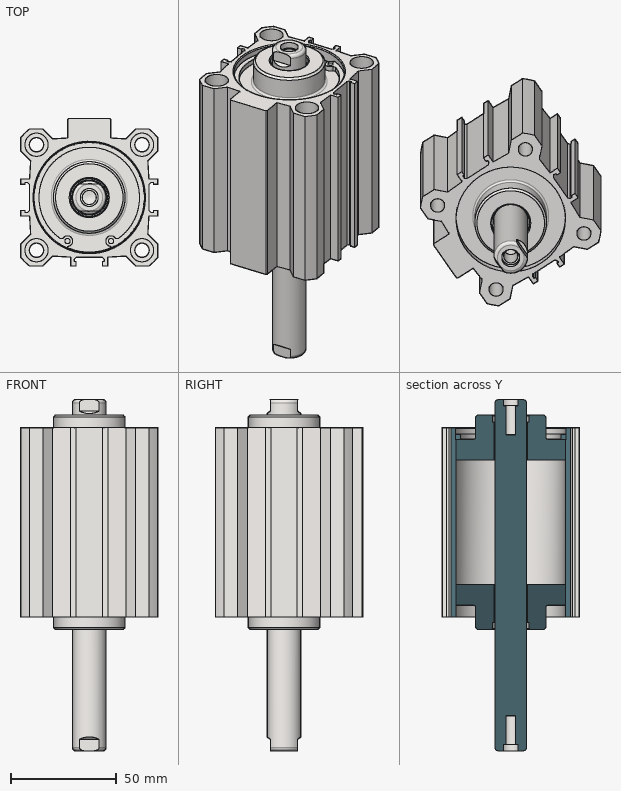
import cadquery as cq
import math

ROD_LENGTH = 166.5
HOUSING_BOTTOM = 63.5
HOUSING_HEIGHT = 89.7
HOUSING_TOP = HOUSING_BOTTOM + HOUSING_HEIGHT
HOUSING_MIDDLE = HOUSING_BOTTOM + HOUSING_HEIGHT / 2

HALF_WIDTH = 32.5
POST_CORNER_RADIUS = 43.1
WALL_MIDDLE = 28.3
WALL_END = 27.8
POST_ROOT = 17.3
RAIL_OUTER = 8.8
RAIL_STEM_INNER = 7.0
RAIL_LIP_INNER = 6.2
RAIL_LIP_THICKNESS = 2.2
RAIL_ROOT_BEVEL = 0.8
PORT_BLOCK_WIDTH = 20.5
PORT_BLOCK_END = 37.5
PORT_BLOCK_CHAMFER = 0.5

BORE_DIAMETER = 51.8
RING_SEAT_DIAMETER = 52.3
RING_SEAT_CHAMFER = 0.5
MOUNT_OFFSET = 25.0
MOUNT_DIAMETER = 6.7
MOUNT_COUNTERBORE_DIAMETER = 11.0
MOUNT_COUNTERBORE_DEPTH = 6.8

COVER_RECESS = 5.5
COVER_THICKNESS = 10.0
BOSS_DIAMETER = 34.0
BOSS_PROJECTION = 6.0
BOSS_CHAMFER = 1.0
BOSS_ROOT_FILLET = 1.0
COVER_HOLE_DIAMETER = 16.5
WIPER_RECESS_DIAMETER = 18.0
WIPER_RECESS_DEPTH = 3.3
WIPER_RECESS_CHAMFER = 0.5

RING_INNER_DIAMETER = 47.6
RING_THICKNESS = 2.3
EAR_X = 10.3
EAR_Y = -20.6
EAR_RADIUS = 2.5
EAR_HOLE_DIAMETER = 2.5
EAR_NECK_Y = -19.3

ROD_DIAMETER = 16.0
ROD_END_FILLET = 1.7
FLAT_SPACING = 13.0
FLAT_LENGTH = 5.5
RUNOUT_SLOPE = 0.8
ROD_HOLE_DIAMETER = 6.7
ROD_HOLE_DEPTH = 16.6
ROD_COUNTERBORE_DIAMETER = 8.5
ROD_COUNTERBORE_DEPTH = 3.0
HOLE_CONE_ANGLE = 160.0


def cylinder(diameter, bottom, height):
    return cq.Workplane("XY").workplane(offset=bottom).circle(diameter / 2).extrude(height)


def prism(points):
    """Extrude a plan outline over the height of the housing."""
    base = cq.Workplane("XY").workplane(offset=HOUSING_BOTTOM)
    return base.polyline(points).close().extrude(HOUSING_HEIGHT)


def quarter_turn(point, turns):
    x, y = point
    for _ in range(turns):
        x, y = -y, x
    return x, y


def housing_core():
    """Four slightly crowned walls joined by corner posts, trimmed round at their outer corners."""
    post_start = POST_ROOT + HALF_WIDTH - WALL_END
    post_end = math.sqrt(POST_CORNER_RADIUS**2 - HALF_WIDTH**2)
    arc_middle = POST_CORNER_RADIUS * math.sqrt(0.5)
    wall = [
        (post_start, HALF_WIDTH),
        (POST_ROOT, WALL_END),
        (RAIL_OUTER, WALL_MIDDLE),
        (-RAIL_OUTER, WALL_MIDDLE),
        (-POST_ROOT, WALL_END),
        (-post_start, HALF_WIDTH),
        (-post_end, HALF_WIDTH),
    ]
    outline = cq.Workplane("XY").workplane(offset=HOUSING_BOTTOM).moveTo(post_end, HALF_WIDTH)
    for turns in range(4):
        for point in wall:
            outline = outline.lineTo(*quarter_turn(point, turns))
        outline = outline.threePointArc(
            quarter_turn((-arc_middle, arc_middle), turns), quarter_turn((-HALF_WIDTH, post_end), turns)
        )
    return outline.close().extrude(HOUSING_HEIGHT)


def rail_pair():
    """Two hooked rails facing each other on the -Y wall."""
    lip_root = HALF_WIDTH - RAIL_LIP_THICKNESS
    hook = [
        (RAIL_OUTER, -WALL_END),
        (RAIL_OUTER, -HALF_WIDTH),
        (RAIL_LIP_INNER, -HALF_WIDTH),
        (RAIL_LIP_INNER, -lip_root),
        (RAIL_STEM_INNER, -lip_root),
        (RAIL_STEM_INNER, -WALL_MIDDLE - RAIL_ROOT_BEVEL),
        (RAIL_STEM_INNER - RAIL_ROOT_BEVEL, -WALL_MIDDLE),
        (RAIL_STEM_INNER - RAIL_ROOT_BEVEL, -WALL_END),
    ]
    rail = prism(hook)
    return rail.union(rail.mirror("YZ"))


def port_block():
    depth = PORT_BLOCK_END - WALL_END
    return (
        cq.Workplane("XY")
        .box(PORT_BLOCK_WIDTH, depth, HOUSING_HEIGHT)
        .edges("|Z and >Y")
        .chamfer(PORT_BLOCK_CHAMFER)
        .translate((0, WALL_END + depth / 2, HOUSING_MIDDLE))
    )


def make_housing():
    """Extruded body with a through bore, a ring seat and four counterbored mounting holes."""
    body = housing_core().union(port_block())
    for angle in (-90, 0, 90):
        body = body.union(rail_pair().rotate((0, 0, 0), (0, 0, 1), angle))
    body = body.cut(cylinder(BORE_DIAMETER, HOUSING_BOTTOM, HOUSING_HEIGHT))
    body = body.cut(cylinder(RING_SEAT_DIAMETER, HOUSING_TOP - COVER_RECESS, COVER_RECESS))
    seat_rim = body.faces(">Z").edges("%CIRCLE").edges(cq.selectors.RadiusNthSelector(0))
    body = seat_rim.chamfer(RING_SEAT_CHAMFER)
    for x in (-MOUNT_OFFSET, MOUNT_OFFSET):
        for y in (-MOUNT_OFFSET, MOUNT_OFFSET):
            hole = cylinder(MOUNT_DIAMETER, HOUSING_BOTTOM, HOUSING_HEIGHT)
            counterbore = cylinder(
                MOUNT_COUNTERBORE_DIAMETER, HOUSING_TOP - MOUNT_COUNTERBORE_DEPTH, MOUNT_COUNTERBORE_DEPTH
            )
            body = body.cut(hole.union(counterbore).translate((x, y, 0)))
    return body


def make_upper_cover():
    """Turned cover: a plate in the bore and a boss, with a clearance hole for the rod."""
    plate_top = HOUSING_TOP - COVER_RECESS
    plate_bottom = plate_top - COVER_THICKNESS
    boss_top = HOUSING_TOP + BOSS_PROJECTION
    plate = cylinder(BORE_DIAMETER, plate_bottom, COVER_THICKNESS)
    boss = cylinder(BOSS_DIAMETER, plate_top, boss_top - plate_top).faces(">Z").chamfer(BOSS_CHAMFER)
    cover = plate.union(boss)
    cover = cover.faces(">Z[-2]").edges(cq.selectors.RadiusNthSelector(0)).fillet(BOSS_ROOT_FILLET)
    cover = cover.cut(cylinder(COVER_HOLE_DIAMETER, plate_bottom, boss_top - plate_bottom))
    cover = cover.cut(cylinder(WIPER_RECESS_DIAMETER, boss_top - WIPER_RECESS_DEPTH, WIPER_RECESS_DEPTH))
    return cover.faces(">Z").edges(cq.selectors.RadiusNthSelector(0)).chamfer(WIPER_RECESS_CHAMFER)


def make_lower_cover():
    """Same cover, mirrored to the lower end of the housing."""
    return make_upper_cover().mirror("XY", (0, 0, HOUSING_MIDDLE))


def ring_piece(outline):
    """Extrude a sketch lying on the upper cover plate to the thickness of the ring."""
    return outline.extrude(RING_THICKNESS)


def make_ring():
    """Open ring with a perforated ear at each side of its gap."""
    level = cq.Workplane("XY").workplane(offset=HOUSING_TOP - COVER_RECESS)
    reach = RING_SEAT_DIAMETER / 2
    disc = ring_piece(level.circle(reach))
    band = disc.cut(ring_piece(level.circle(RING_INNER_DIAMETER / 2)))
    ring = band.cut(ring_piece(level.center(0, -reach).rect(2 * EAR_X, reach)))
    for side in (-1, 1):
        ear_centre = level.center(side * EAR_X, EAR_Y)
        neck_corners = [
            (side * EAR_X, EAR_NECK_Y),
            (side * reach, EAR_NECK_Y),
            (side * reach, -reach),
            (side * EAR_X, -reach),
        ]
        neck = ring_piece(level.polyline(neck_corners).close())
        ear = ring_piece(ear_centre.circle(EAR_RADIUS)).union(neck).intersect(disc)
        ring = ring.union(ear).cut(ring_piece(ear_centre.circle(EAR_HOLE_DIAMETER / 2)))
    return ring


def wrench_flat():
    """Cutter for the upper -Y flat, with a sloping run-out."""
    flat = FLAT_SPACING / 2
    reach = ROD_DIAMETER
    flat_end = ROD_LENGTH - FLAT_LENGTH
    points = [
        (-flat, ROD_LENGTH),
        (-flat, flat_end),
        (-reach, flat_end - RUNOUT_SLOPE * (reach - flat)),
        (-reach, ROD_LENGTH),
    ]
    return cq.Workplane("YZ").polyline(points).close().extrude(ROD_DIAMETER / 2, both=True)


def rod_end_hole():
    """Counterbored blind hole with a shallow conical bottom, in the upper rod end."""
    radius = ROD_HOLE_DIAMETER / 2
    cone_depth = radius / math.tan(math.radians(HOLE_CONE_ANGLE / 2))
    bottom = ROD_LENGTH - ROD_HOLE_DEPTH
    ledge = ROD_LENGTH - ROD_COUNTERBORE_DEPTH
    profile = [
        (0, ROD_LENGTH),
        (ROD_COUNTERBORE_DIAMETER / 2, ROD_LENGTH),
        (ROD_COUNTERBORE_DIAMETER / 2, ledge),
        (radius, ledge),
        (radius, bottom),
        (0, bottom - cone_depth),
    ]
    return cq.Workplane("XZ").polyline(profile).close().revolve(360, (0, 0), (0, 1))


def make_rod():
    """Through rod with the same flats and hole at both ends."""
    rod = cylinder(ROD_DIAMETER, 0, ROD_LENGTH).faces("<Z or >Z").edges().fillet(ROD_END_FILLET)
    upper_cuts = wrench_flat().union(wrench_flat().mirror("XZ")).union(rod_end_hole())
    return rod.cut(upper_cuts).cut(upper_cuts.mirror("XY", (0, 0, ROD_LENGTH / 2)))


housing = make_housing()
upper_cover = make_upper_cover()
lower_cover = make_lower_cover()
ring = make_ring()
rod = make_rod()

result = cq.Compound.makeCompound([
    housing.val(), upper_cover.val(), lower_cover.val(), ring.val(), rod.val()
])